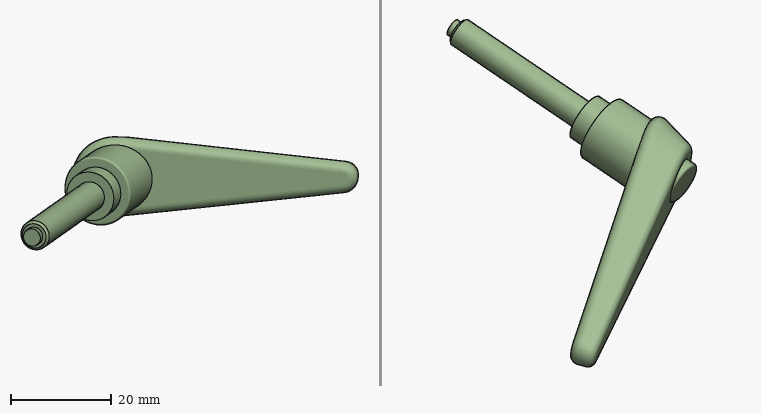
import cadquery as cq
import math


STUD_DIAMETER = 6.0
STUD_LENGTH = 32.0
STUD_CHAMFER = 0.5
TIP_DIAMETER = 3.6
TIP_LENGTH = 1.3
COLLAR_DIAMETER = 10.0
COLLAR_HEIGHT = 4.0
BUTTON_DIAMETER = 9.0
BUTTON_TOP = 24.75
BUTTON_FILLET = 0.5

HUB_DIAMETER = 14.0
HUB_FILLET = 0.4
HUB_OVERLAP = 4.0

UNDERSIDE_SLOPE = 20.0
TOP_SLOPE = 15.0
UNDERSIDE_HEIGHT = 14.0
TOP_HEIGHT = 23.55
DRAFT_TILT = 3.5
DRAFT_ANGLE = 15.0
HUB_END_RADIUS = 8.75
TIP_END_RADIUS = 7.2
END_SPACING = 42.9
UNDERSIDE_FILLET = 1.9
TOP_FILLET = 1.5

DRAFT_DEPTH_BELOW = 4.0
DRAFT_HEIGHT = 23.0
SLAB_BACK = -15.0
SLAB_FRONT = 60.0
SLAB_WIDTH = 40.0


def cylinder_along_y(diameter, y_low, y_high):
    plane = cq.Plane(origin=(0, y_low, 0), xDir=(1, 0, 0), normal=(0, 1, 0))
    return cq.Workplane(plane).circle(diameter / 2).extrude(y_high - y_low)


def drafted_block():
    """Two round ends joined by tangent sides, drafted along the tilted axis."""
    tilt = math.radians(DRAFT_TILT)
    axis = cq.Vector(-math.sin(tilt), math.cos(tilt), 0)
    base = cq.Vector(0, UNDERSIDE_HEIGHT, 0) - axis * DRAFT_DEPTH_BELOW
    plane = cq.Plane(origin=base, xDir=(math.cos(tilt), math.sin(tilt), 0), normal=axis)

    growth = DRAFT_DEPTH_BELOW * math.tan(math.radians(DRAFT_ANGLE))
    hub_radius = HUB_END_RADIUS + growth
    tip_radius = TIP_END_RADIUS + growth
    sine = (hub_radius - tip_radius) / END_SPACING
    cosine = math.sqrt(1 - sine**2)
    hub_x, hub_y = hub_radius * sine, hub_radius * cosine
    tip_x, tip_y = END_SPACING + tip_radius * sine, tip_radius * cosine
    return (
        cq.Workplane(plane)
        .moveTo(hub_x, hub_y)
        .threePointArc((-hub_radius, 0), (hub_x, -hub_y))
        .lineTo(tip_x, -tip_y)
        .threePointArc((END_SPACING + tip_radius, 0), (tip_x, tip_y))
        .close()
        .extrude(DRAFT_DEPTH_BELOW + DRAFT_HEIGHT, taper=DRAFT_ANGLE)
    )


def lever_slab():
    """Wedge of space between the sloped underside and top planes."""
    def underside(x):
        return UNDERSIDE_HEIGHT + x * math.tan(math.radians(UNDERSIDE_SLOPE))

    def top(x):
        return TOP_HEIGHT + x * math.tan(math.radians(TOP_SLOPE))

    return (
        cq.Workplane("XY")
        .moveTo(SLAB_BACK, underside(SLAB_BACK))
        .lineTo(SLAB_FRONT, underside(SLAB_FRONT))
        .lineTo(SLAB_FRONT, top(SLAB_FRONT))
        .lineTo(SLAB_BACK, top(SLAB_BACK))
        .close()
        .extrude(SLAB_WIDTH / 2, both=True)
    )


def make_handle():
    lever = drafted_block().intersect(lever_slab())
    lever = lever.faces("%PLANE").faces("<Y").edges().fillet(UNDERSIDE_FILLET)
    lever = lever.faces("%PLANE").faces(">Y").edges().fillet(TOP_FILLET)
    hub = cylinder_along_y(HUB_DIAMETER, COLLAR_HEIGHT, UNDERSIDE_HEIGHT + HUB_OVERLAP)
    hub = hub.faces("<Y").edges().fillet(HUB_FILLET)
    bore = cylinder_along_y(BUTTON_DIAMETER, COLLAR_HEIGHT, BUTTON_TOP)
    return lever.union(hub).cut(bore)


def make_spindle():
    tip = cylinder_along_y(TIP_DIAMETER, -STUD_LENGTH - TIP_LENGTH, -STUD_LENGTH)
    stud = cylinder_along_y(STUD_DIAMETER, -STUD_LENGTH, 0)
    stud = stud.faces("<Y").edges().chamfer(STUD_CHAMFER)
    collar = cylinder_along_y(COLLAR_DIAMETER, 0, COLLAR_HEIGHT)
    button = cylinder_along_y(BUTTON_DIAMETER, COLLAR_HEIGHT, BUTTON_TOP)
    button = button.faces(">Y").edges().fillet(BUTTON_FILLET)
    return tip.union(stud).union(collar).union(button)


handle = make_handle()
spindle = make_spindle()

result = cq.Compound.makeCompound([handle.val(), spindle.val()])